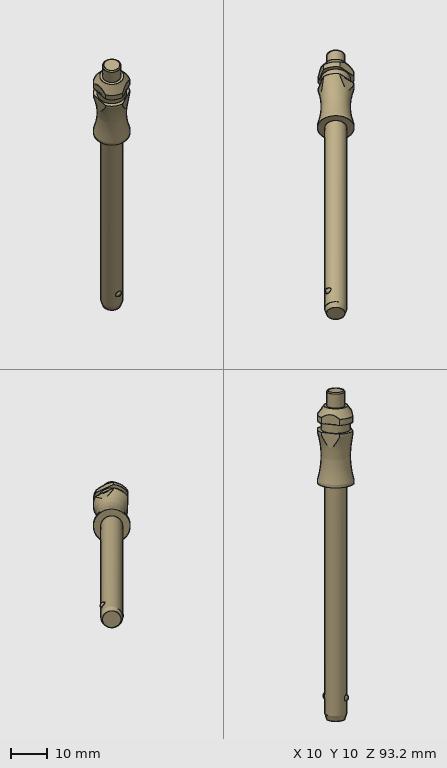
import cadquery as cq
import math

shaft_length = 67.0
tip_height = 1.6
handle_length = 15.2
handle_rim_height = 0.8
neck_length = 2.5
head_band_height = 1.7
head_cone_height = 2.5
button_height = 4.3
button_chamfer = 0.35

shaft_radius = 3.0
tip_radius = 2.5
handle_radius = 5.0
waist_radius = 4.0
neck_radius = waist_radius
head_top_radius = 3.25
button_radius = 2.5

flat_count = 3
flat_distance = 4.25
first_flat_angle = -90

ball_radius = 1.0
ball_reach = 3.6
ball_height_above_tip = 6.3

tip_z = -shaft_length
waist_z = handle_length / 2
head_bottom_z = handle_length + neck_length
head_cone_z = head_bottom_z + head_band_height
head_top_z = head_cone_z + head_cone_height
button_top_z = head_top_z + button_height


def waist_arc_middle(direction):
    """Point (radius, Z) halfway along the waist arc below (-1) or above (+1) the waist.

    Each arc is tangent to Z at the waist and flares out to the handle rim.
    """
    rise = waist_z - handle_rim_height
    flare = handle_radius - waist_radius
    arc_radius = (rise**2 + flare**2) / (2 * flare)
    half_angle = math.asin(rise / arc_radius) / 2
    radius = waist_radius + arc_radius * (1 - math.cos(half_angle))
    return radius, waist_z + direction * arc_radius * math.sin(half_angle)


def make_turned_body():
    """Shaft, waisted handle, neck, head and button, revolved about Z."""
    profile = (
        cq.Workplane("XZ")
        .moveTo(0, tip_z)
        .lineTo(tip_radius, tip_z)
        .lineTo(shaft_radius, tip_z + tip_height)
        .lineTo(shaft_radius, 0)
        .lineTo(handle_radius, 0)
        .lineTo(handle_radius, handle_rim_height)
        .threePointArc(waist_arc_middle(-1), (waist_radius, waist_z))
        .threePointArc(waist_arc_middle(1), (handle_radius, handle_length - handle_rim_height))
        .lineTo(handle_radius, handle_length)
        .lineTo(neck_radius, handle_length)
        .lineTo(neck_radius, head_bottom_z)
        .lineTo(handle_radius, head_bottom_z)
        .lineTo(handle_radius, head_cone_z)
        .lineTo(head_top_radius, head_top_z)
        .lineTo(button_radius, head_top_z)
        .lineTo(button_radius, button_top_z - button_chamfer)
        .lineTo(button_radius - button_chamfer, button_top_z)
        .lineTo(0, button_top_z)
        .close()
    )
    return profile.revolve(360, (0, 0, 0), (0, 1, 0), clean=False)


def make_flat_cutter(angle):
    """Block from the waist to the head top, whose inner face is the flat facing the given angle."""
    return (
        cq.Workplane("XY", origin=(0, 0, waist_z))
        .rect(handle_radius, 2 * handle_radius)
        .extrude(head_top_z - waist_z)
        .translate((flat_distance + handle_radius / 2, 0, 0))
        .rotate((0, 0, 0), (0, 0, 1), angle)
    )


def make_ball(side):
    """Locking ball partly sunk in the shaft; side is +1 or -1 along X."""
    center_x = side * (ball_reach - ball_radius)
    return cq.Workplane("XY").sphere(ball_radius).translate((center_x, 0, tip_z + ball_height_above_tip))


result = make_turned_body()

for index in range(flat_count):
    result = result.cut(make_flat_cutter(first_flat_angle + index * 360 / flat_count), clean=False)

for side in (-1, 1):
    result = result.union(make_ball(side), clean=False)